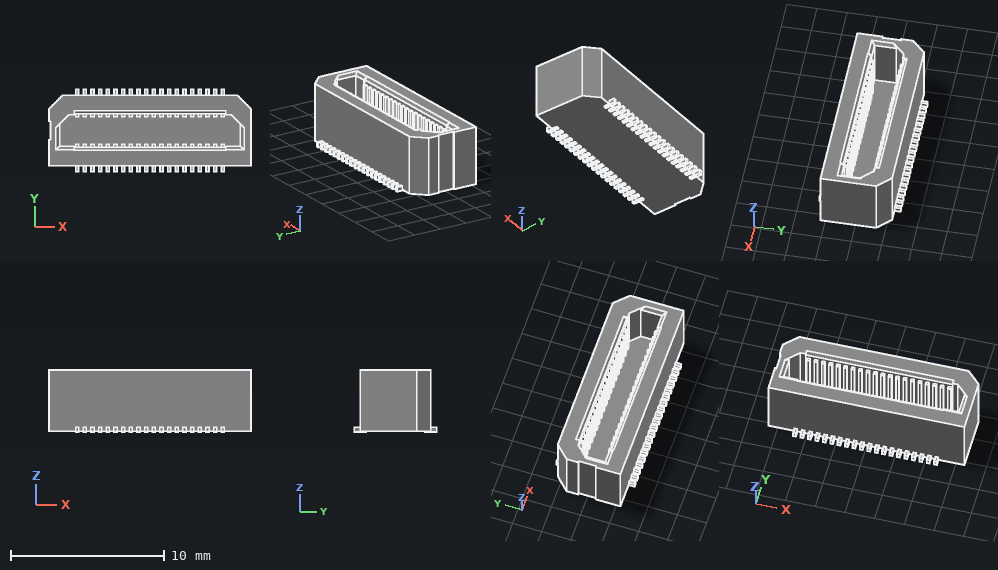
import cadquery as cq

body_length = 13.2
body_width = 4.6
body_height = 4.0
standoff = 0.05
corner_chamfer = 0.9
notch_width = 1.2
notch_depth = 0.1

floor_thickness = 0.5
cavity_length = 11.8
cavity_width = 2.05
cavity_corner_chamfer = 0.6
lead_in_width = 0.235
lead_in_depth = 0.2

recess_length = 9.9
recess_span = 2.19
recess_mouth_span = 2.6
recess_lead_in_depth = 0.2

contacts_per_row = 20
contact_pitch = 0.5
contact_width = 0.2
contact_gap = 1.82
contact_embed = 0.1
contact_top_drop = 0.5
tail_span = 5.4
tail_length = 0.8
tail_height = 0.32

body_top = standoff + body_height
floor_z = standoff + floor_thickness
cavity_depth = body_top - floor_z


def chamfered_plate(length, width, chamfer, bottom, height):
    """Rectangular prism whose two +Y vertical corners are cut at 45 degrees."""
    half_length = length / 2
    half_width = width / 2
    outline = [
        (-half_length, -half_width),
        (half_length, -half_width),
        (half_length, half_width - chamfer),
        (half_length - chamfer, half_width),
        (-half_length + chamfer, half_width),
        (-half_length, half_width - chamfer),
    ]
    return cq.Workplane("XY").workplane(offset=bottom).polyline(outline).close().extrude(height)


def make_housing():
    """Outer block with two cut corners and a shallow notch in its -X end."""
    block = chamfered_plate(body_length, body_width, corner_chamfer, standoff, body_height)
    notch = (
        cq.Workplane("XY")
        .workplane(offset=standoff)
        .center(-body_length / 2, 0)
        .rect(2 * notch_depth, notch_width)
        .extrude(body_height)
    )
    return block.cut(notch)


def make_cavity():
    """Cavity whose mouth flares outward on the -X, +X and -Y sides only."""
    well = chamfered_plate(cavity_length, cavity_width, cavity_corner_chamfer, floor_z, cavity_depth)

    mouth_length = cavity_length + 2 * lead_in_width
    mouth_width = cavity_width + lead_in_width
    flare = (
        cq.Workplane("XY")
        .workplane(offset=body_top - lead_in_depth)
        .rect(cavity_length, cavity_width)
        .workplane(offset=lead_in_depth)
        .center(0, -lead_in_width / 2)
        .rect(mouth_length, mouth_width)
        .loft(ruled=True)
    )
    flare_limit = chamfered_plate(
        mouth_length,
        cavity_width + 2 * lead_in_width,
        cavity_corner_chamfer + 2 * lead_in_width,
        floor_z,
        cavity_depth,
    )
    return well.union(flare.intersect(flare_limit))


def make_recess():
    """Slot widening the cavity along the contact rows, with sloped upper edges."""
    half_span = recess_span / 2
    half_mouth = recess_mouth_span / 2
    slope_start = body_top - recess_lead_in_depth
    profile = [
        (-half_span, floor_z),
        (half_span, floor_z),
        (half_span, slope_start),
        (half_mouth, body_top),
        (-half_mouth, body_top),
        (-half_span, slope_start),
    ]
    return cq.Workplane("YZ").polyline(profile).close().extrude(recess_length / 2, both=True)


def contact_row_boxes(y_start, y_end, z_start, z_end):
    """Row of contact-wide boxes along X, all within the same Y and Z limits."""
    return (
        cq.Workplane("XY")
        .workplane(offset=z_start)
        .center(0, (y_start + y_end) / 2)
        .rarray(contact_pitch, 1, contacts_per_row, 1)
        .rect(contact_width, y_end - y_start)
        .extrude(z_end - z_start)
    )


def make_blades():
    """Contact blades standing in the +Y recess, rooted in the wall and floor."""
    return contact_row_boxes(
        contact_gap / 2,
        recess_span / 2 + contact_embed,
        floor_z - contact_embed,
        body_top - contact_top_drop,
    )


def make_tails():
    """Solder tails leaving the housing on the +Y side, flush with the seating plane."""
    return contact_row_boxes(tail_span / 2 - tail_length, tail_span / 2, 0, tail_height)


result = make_housing().cut(make_cavity()).cut(make_recess())
for row in (make_blades(), make_tails()):
    result = result.union(row).union(row.mirror("XZ"))